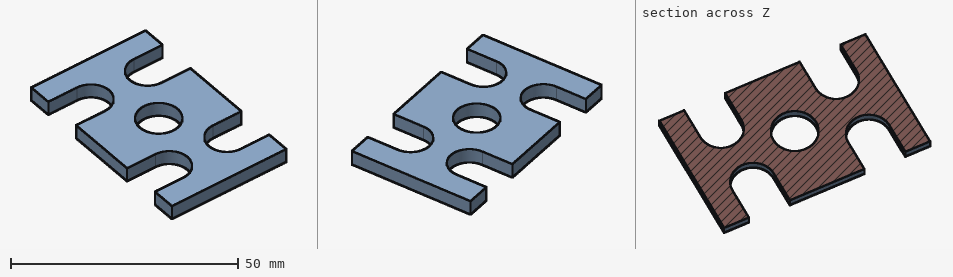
import cadquery as cq

length = 50.8
width = 31.75
thickness = 3.75
bore_diameter = 10.4

slot_width = 10.0
slot_offset = 14.2
left_web = 5.75
right_web = 6.0


def slot_pair(center_x, web):
    """Two opposed slots with round inner ends, separated by the web."""
    radius = slot_width / 2
    edge_y = width / 2
    end_y = web / 2
    slot = (
        cq.Workplane("XY")
        .moveTo(center_x - radius, edge_y)
        .lineTo(center_x - radius, end_y + radius)
        .threePointArc((center_x, end_y), (center_x + radius, end_y + radius))
        .lineTo(center_x + radius, edge_y)
        .close()
        .extrude(thickness)
    )
    return slot.union(slot.mirror("XZ"))


plate = cq.Workplane("XY").box(length, width, thickness, centered=(True, True, False))
bore = cq.Workplane("XY").circle(bore_diameter / 2).extrude(thickness)

result = (
    plate
    .cut(bore)
    .cut(slot_pair(-slot_offset, left_web))
    .cut(slot_pair(slot_offset, right_web))
)